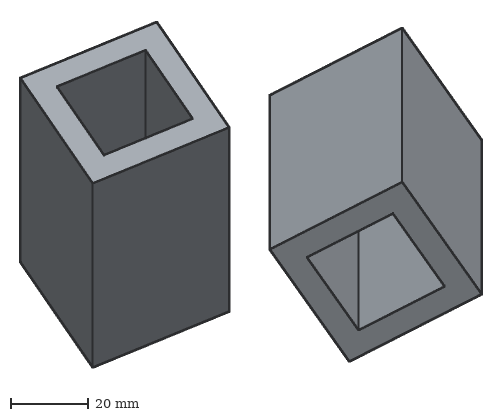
import cadquery as cq

height = 75.0
outer_side = 40.0
bore_side = 25.95

outer_block = cq.Workplane("XY").rect(outer_side, outer_side).extrude(height)
through_bore = cq.Workplane("XY").rect(bore_side, bore_side).extrude(height)

result = outer_block.cut(through_bore)